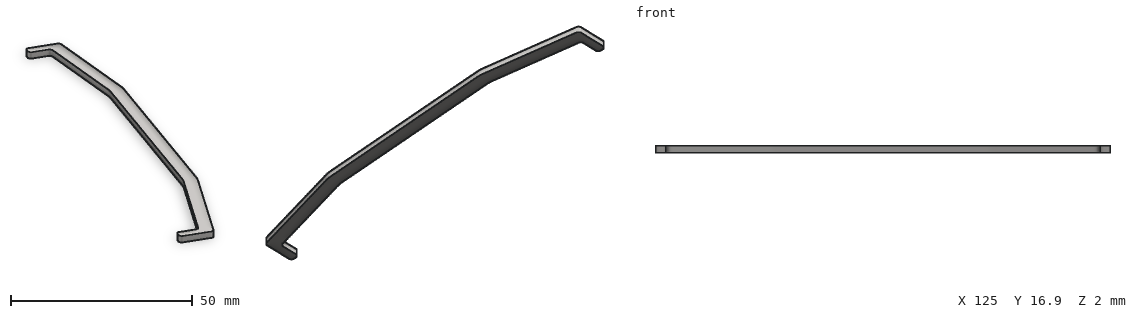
import cadquery as cq
import math

length = 125.0
depth = 16.9
thickness = 2.0

bar_width = 4.0
leg_width = 2.8
slope_angle = math.radians(12)
bend_inset = 32.2

small_radius = 1.0
bend_radius = 10.0

half_length = length / 2
slope = math.tan(slope_angle)

outer_bend_x = half_length - bend_inset
inner_bend_x = outer_bend_x - bar_width * math.tan(slope_angle / 2)
inner_bend_y = depth - bar_width
leg_inner_x = half_length - leg_width
shoulder_y = depth - bend_inset * slope
inner_corner_y = inner_bend_y - (leg_inner_x - inner_bend_x) * slope

right_half = [
    (outer_bend_x, depth),
    (half_length, shoulder_y),
    (half_length, 0),
    (leg_inner_x, 0),
    (leg_inner_x, inner_corner_y),
    (inner_bend_x, inner_bend_y),
]
left_half = [(-x, y) for x, y in reversed(right_half)]
body = cq.Workplane("XY").polyline(right_half + left_half).close().extrude(thickness)


def round_upright_edges(solid, corners, radius):
    """Round the vertical edges at the given corners and at their mirror images."""
    points = [(side * x, y, thickness / 2) for x, y in corners for side in (-1, 1)]
    for point in points:
        solid = solid.edges(cq.selectors.NearestToPointSelector(point)).fillet(radius)
    return solid


bends = [right_half[0], right_half[-1]]
leg_corners = right_half[1:-1]
body = round_upright_edges(body, bends, bend_radius)
result = round_upright_edges(body, leg_corners, small_radius)